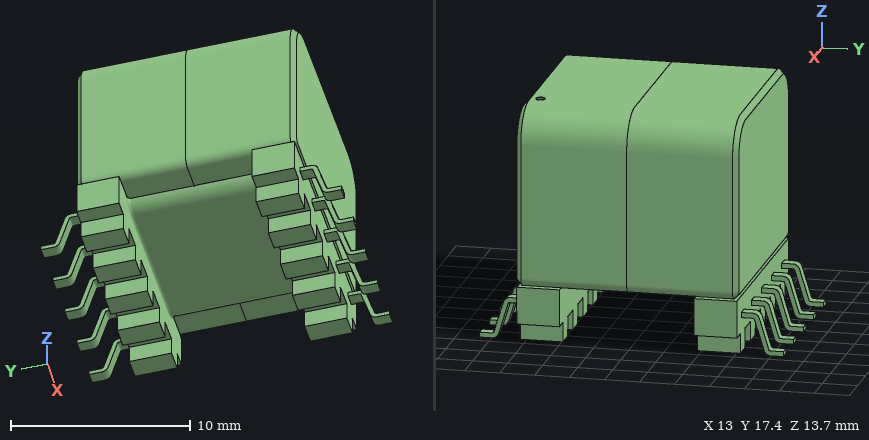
import cadquery as cq
import math

WIDTH = 13.0
LENGTH = 17.4
HEIGHT = 13.7

CORE_LENGTH = 12.7
CORE_BOTTOM = 3.4
TOP_RADIUS = 2.0
BOTTOM_RADIUS = 0.5
END_CHAMFER = 0.3
DOT_DIAMETER = 0.5
DOT_DEPTH = 0.03
DOT_X = 4.0
DOT_Y = -5.5

BASE_LENGTH = 12.6
RAIL_DEPTH = 2.45
RAIL_BOTTOM = 1.25
LEG_BOTTOM = 0.1
LEG_WIDTH = 1.2
BRIDGE_WIDTH = 9.57
BRIDGE_DROP = 0.57
BRIDGE_RADIUS = 1.0
BRIDGE_END_FILLET = 0.2

PIN_COUNT = 5
PIN_PITCH = 2.5
PIN_WIDTH = 0.68
PIN_THICKNESS = 0.3
PIN_TOP = 2.42
PIN_BEND_START = 6.95
PIN_BEND_ANGLE = math.radians(73)
PIN_INNER_RADIUS = 0.1

PIN_XS = [(i - (PIN_COUNT - 1) / 2) * PIN_PITCH for i in range(PIN_COUNT)]


def make_front_core():
    """Core half on the -Y side, with the orientation dot in its top."""
    block = cq.Workplane("XY").box(
        WIDTH, CORE_LENGTH / 2, HEIGHT - CORE_BOTTOM, centered=(True, False, False)
    )
    block = block.translate((0, -CORE_LENGTH / 2, CORE_BOTTOM))
    block = block.edges("|Y and >Z").fillet(TOP_RADIUS)
    block = block.edges("|Y and <Z").fillet(BOTTOM_RADIUS)
    return block.faces("<Y").chamfer(END_CHAMFER)


def cut_dot(core):
    """Shallow round orientation mark in the top face."""
    dot = cq.Workplane("XY").circle(DOT_DIAMETER / 2).extrude(DOT_DEPTH)
    return core.cut(dot.translate((DOT_X, DOT_Y, HEIGHT - DOT_DEPTH)))


def make_front_rail():
    """Rail on the -Y side with its row of legs."""
    front = -BASE_LENGTH / 2
    rail = cq.Workplane("XY").box(
        WIDTH, RAIL_DEPTH, CORE_BOTTOM - RAIL_BOTTOM, centered=(True, False, False)
    )
    rail = rail.translate((0, front, RAIL_BOTTOM))
    for x in PIN_XS:
        leg = cq.Workplane("XY").box(
            LEG_WIDTH, RAIL_DEPTH, CORE_BOTTOM - LEG_BOTTOM, centered=(True, False, False)
        )
        rail = rail.union(leg.translate((x, front, LEG_BOTTOM)))
    return rail


def make_bridge():
    """Slab between the rails, its lower edges rounded and its top cut flat at the core."""
    gap = BASE_LENGTH - 2 * RAIL_DEPTH
    bottom = CORE_BOTTOM - BRIDGE_DROP
    slab = cq.Workplane("XY").box(
        BRIDGE_WIDTH, gap, 2 * BRIDGE_RADIUS, centered=(True, True, False)
    )
    slab = slab.edges("|Y and <Z").fillet(BRIDGE_RADIUS)
    below_core = cq.Workplane("XY").box(
        BRIDGE_WIDTH, gap, BRIDGE_DROP, centered=(True, True, False)
    )
    return slab.intersect(below_core).translate((0, 0, bottom))


def make_front_pin(x):
    """Bent strip from the front rail face down to the soldering plane."""
    outer_radius = PIN_INNER_RADIUS + PIN_THICKNESS
    run = math.sin(PIN_BEND_ANGLE)
    drop = 1 - math.cos(PIN_BEND_ANGLE)
    fall = PIN_TOP - PIN_THICKNESS
    slope = (fall - (outer_radius + PIN_INNER_RADIUS) * drop) / run
    slope_y = slope * math.cos(PIN_BEND_ANGLE)
    slope_z = slope * run
    foot_bend_y = PIN_BEND_START + (outer_radius + PIN_INNER_RADIUS) * run + slope_y

    profile = (
        cq.Workplane("YZ")
        .moveTo(-BASE_LENGTH / 2, PIN_TOP)
        .lineTo(-PIN_BEND_START, PIN_TOP)
        .tangentArcPoint((-outer_radius * run, -outer_radius * drop))
        .line(-slope_y, -slope_z)
        .tangentArcPoint((-PIN_INNER_RADIUS * run, -PIN_INNER_RADIUS * drop))
        .lineTo(-LENGTH / 2, PIN_THICKNESS)
        .lineTo(-LENGTH / 2, 0)
        .lineTo(-foot_bend_y, 0)
        .tangentArcPoint((outer_radius * run, outer_radius * drop))
        .line(slope_y, slope_z)
        .tangentArcPoint((PIN_INNER_RADIUS * run, PIN_INNER_RADIUS * drop))
        .lineTo(-BASE_LENGTH / 2, PIN_TOP - PIN_THICKNESS)
        .close()
    )
    return profile.extrude(PIN_WIDTH / 2, both=True).translate((x, 0, 0))


def make_base():
    """Rails, legs, bridge and pins as one solid."""
    rail = make_front_rail()
    base = make_bridge().union(rail).union(rail.mirror("XZ"))

    inner_y = BASE_LENGTH / 2 - RAIL_DEPTH
    reach = BRIDGE_END_FILLET / 2
    for y in (-inner_y, inner_y):
        joint = cq.selectors.BoxSelector(
            (-WIDTH / 2, y - reach, CORE_BOTTOM - BRIDGE_DROP - reach),
            (WIDTH / 2, y + reach, CORE_BOTTOM - reach),
        )
        base = base.edges(joint).fillet(BRIDGE_END_FILLET)

    for x in PIN_XS:
        pin = make_front_pin(x)
        base = base.union(pin).union(pin.mirror("XZ"))
    return base


plain_core = make_front_core()
front_core = cut_dot(plain_core)
back_core = plain_core.mirror("XZ")
base = make_base()

result = cq.Compound.makeCompound([
    front_core.solids().val(),
    back_core.solids().val(),
    base.solids().val(),
])